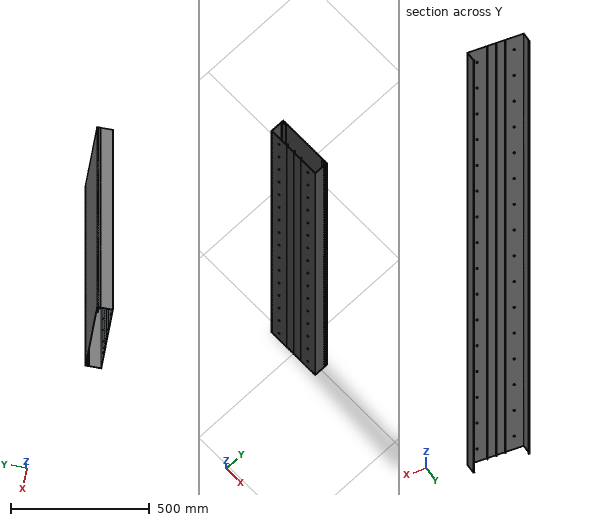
import cadquery as cq

length = 2000.0
width = 230.0
depth = 60.0

wall = 3.0

cover_flange_height = 12.0

lip_reach = 22.0
lip_gap = 3.0

rib_count = 3
rib_spacing = 35.0
rib_width = 3.0
rib_height = 5.0

hole_diameter = 7.0
hole_column_count = 2
hole_column_spacing = 150.0
hole_row_count = 16
hole_row_spacing = length / hole_row_count

outer_half = width / 2
wall_inner_half = outer_half - wall
neck_inner_half = wall_inner_half - wall
lip_edge_half = outer_half - lip_reach

base_outer_y = -depth / 2
base_inner_y = base_outer_y + wall
cover_outer_y = depth / 2
cover_inner_y = cover_outer_y - wall
shoulder_y = cover_outer_y - cover_flange_height
lip_outer_y = cover_inner_y - lip_gap
lip_inner_y = lip_outer_y - wall


def symmetric_prism(half_outline):
    """Extrude an open right-half outline, mirrored about X = 0, along the full length."""
    mirrored = [(-x, y) for x, y in reversed(half_outline)]
    return cq.Workplane("XY").polyline(half_outline + mirrored).close().extrude(length)


def make_ribs():
    """Evenly spaced ribs on the inner face of the base."""
    ribs = cq.Workplane("XY", origin=(0, base_inner_y + rib_height / 2, 0))
    return ribs.rarray(rib_spacing, 20, rib_count, 1).rect(rib_width, rib_height).extrude(length)


def make_fixing_holes():
    """Cutters for the columns of round holes through the base."""
    holes = cq.Workplane("XZ", origin=(0, base_inner_y, length / 2))
    holes = holes.rarray(hole_column_spacing, hole_row_spacing, hole_column_count, hole_row_count)
    return holes.circle(hole_diameter / 2).extrude(wall)


def make_channel():
    """Channel whose sides step inward at a shoulder and end in inward lips."""
    profile = [
        (outer_half, base_outer_y),
        (outer_half, shoulder_y),
        (wall_inner_half, shoulder_y),
        (wall_inner_half, lip_outer_y),
        (lip_edge_half, lip_outer_y),
        (lip_edge_half, lip_inner_y),
        (neck_inner_half, lip_inner_y),
        (neck_inner_half, shoulder_y - wall),
        (wall_inner_half, shoulder_y - wall),
        (wall_inner_half, base_inner_y),
    ]
    return symmetric_prism(profile).union(make_ribs()).cut(make_fixing_holes())


def make_cover():
    """Flat cover whose side flanges rest on the channel shoulders, flush with the sides."""
    profile = [
        (outer_half, cover_outer_y),
        (outer_half, shoulder_y),
        (wall_inner_half, shoulder_y),
        (wall_inner_half, cover_inner_y),
    ]
    return symmetric_prism(profile)


channel = make_channel()
cover = make_cover()

result = cq.Compound.makeCompound([channel.val(), cover.val()])